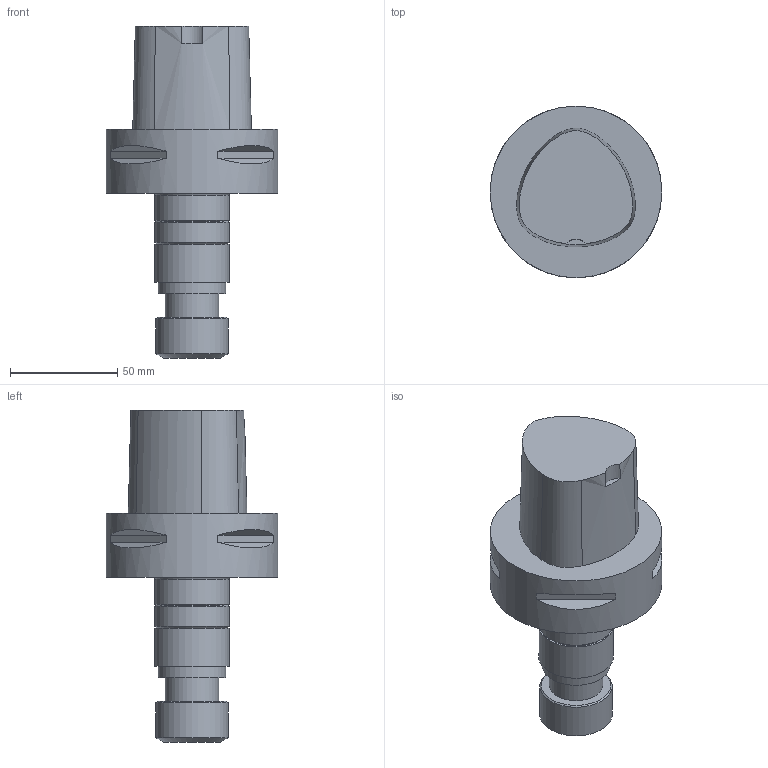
import math
import cadquery as cq

FLANGE_DIAMETER = 80.0
FLANGE_HEIGHT = 30.0

TAPER_LENGTH = 48.0
TAPER_BASE_WIDTH = 55.3
TAPER_RATE = 1 / 20
LOBE_ECCENTRICITY = 2.05
LOBE_COUNT = 3
FLANK_HALF_ANGLE = 26.6
KEY_FLANK_DIRECTION = -90.0
POINTS_PER_CURVE = 9

KEY_SLOT_WIDTH = 10.0
KEY_SLOT_DEPTH = 2.3
KEY_SLOT_HEIGHT = 8.0

GRIP_COUNT = 4
GRIP_FLOOR_OFFSET = 35.5
GRIP_FLOOR_HEIGHT = 3.4
GRIP_WALL_ANGLE = 30.0
GRIP_CENTRE_BELOW_TOP = 12.0

SHANK_DIAMETER = 35.0
SHANK_LENGTH = 41.4
PILOT_DIAMETER = 34.6
PILOT_LENGTH = 23.6
PILOT_FILLET = 0.8
VEE_GROOVE_DEPTH = 0.45
VEE_GROOVE_BELOW_FLANGE = 13.0
UNDERCUT_DEPTH = 0.8
COLLAR_DIAMETER = 31.5
COLLAR_LENGTH = 5.3
NECK_DIAMETER = 24.87
NECK_LENGTH = 11.1
OVERALL_LENGTH = 154.7
HEAD_DIAMETER = 33.7
HEAD_TOP_CHAMFER = 0.6
HEAD_END_CHAMFER_WIDTH = 3.7
HEAD_END_CHAMFER_HEIGHT = 2.0

HEAD_LENGTH = OVERALL_LENGTH - TAPER_LENGTH - FLANGE_HEIGHT - SHANK_LENGTH - COLLAR_LENGTH - NECK_LENGTH


def outline_point(width, angle, z):
    """Point of the lobed outline whose outward normal lies at the given angle (degrees) from +X."""
    normal = math.radians(angle)
    lobe_phase = LOBE_COUNT * (normal - math.pi / 2)
    reach = width / 2 + LOBE_ECCENTRICITY * math.cos(lobe_phase)
    shift = -LOBE_COUNT * LOBE_ECCENTRICITY * math.sin(lobe_phase)
    x = reach * math.cos(normal) - shift * math.sin(normal)
    y = reach * math.sin(normal) + shift * math.cos(normal)
    return cq.Vector(x, y, z)


def outline_curve(width, start, end, z):
    """Smooth stretch of the lobed outline between two normal angles."""
    step = (end - start) / (POINTS_PER_CURVE - 1)
    points = [outline_point(width, start + i * step, z) for i in range(POINTS_PER_CURVE)]
    tangents = [
        cq.Vector(-math.sin(math.radians(angle)), math.cos(math.radians(angle)), 0)
        for angle in (start, end)
    ]
    return cq.Edge.makeSpline(points, tangents=tangents)


def lobed_section(width, z):
    """Closed outline of alternating flat flanks and rounded lobes."""
    pitch = 360 / LOBE_COUNT
    curves = []
    for i in range(LOBE_COUNT):
        flank_centre = KEY_FLANK_DIRECTION + i * pitch
        flank_start = flank_centre - FLANK_HALF_ANGLE
        flank_end = flank_centre + FLANK_HALF_ANGLE
        curves.append(outline_curve(width, flank_start, flank_end, z))
        curves.append(outline_curve(width, flank_end, flank_start + pitch, z))
    return cq.Wire.assembleEdges(curves)


def make_taper():
    top_width = TAPER_BASE_WIDTH - TAPER_RATE * TAPER_LENGTH
    taper_top = FLANGE_HEIGHT + TAPER_LENGTH
    base = lobed_section(TAPER_BASE_WIDTH, FLANGE_HEIGHT)
    top = lobed_section(top_width, taper_top)
    taper = cq.Workplane(cq.Solid.makeLoft([base, top], True))
    return taper.cut(make_key_slot(top_width, taper_top))


def make_key_slot(top_width, taper_top):
    """Upright round-bottomed cutter whose chord at the flank is the slot width."""
    half_width = KEY_SLOT_WIDTH / 2
    radius = (half_width**2 + KEY_SLOT_DEPTH**2) / (2 * KEY_SLOT_DEPTH)
    flank_y = outline_point(top_width, KEY_FLANK_DIRECTION, taper_top).y
    return (
        cq.Workplane("XY", origin=(0, flank_y + KEY_SLOT_DEPTH - radius, taper_top))
        .circle(radius)
        .extrude(-KEY_SLOT_HEIGHT)
    )


def make_flange():
    flange = cq.Workplane("XY").circle(FLANGE_DIAMETER / 2).extrude(FLANGE_HEIGHT)
    cutter = make_grip_cutter()
    spacing = 360 / GRIP_COUNT
    for i in range(GRIP_COUNT):
        flange = flange.cut(cutter.rotate((0, 0, 0), (0, 0, 1), (i + 0.5) * spacing))
    return flange


def make_grip_cutter():
    """Straight trapezoidal bar lying along Y on the +X side of the flange."""
    outer = FLANGE_DIAMETER / 2
    centre_z = FLANGE_HEIGHT - GRIP_CENTRE_BELOW_TOP
    floor_half = GRIP_FLOOR_HEIGHT / 2
    mouth_half = floor_half + (outer - GRIP_FLOOR_OFFSET) * math.tan(math.radians(GRIP_WALL_ANGLE))
    profile = [
        (GRIP_FLOOR_OFFSET, centre_z - floor_half),
        (outer, centre_z - mouth_half),
        (outer, centre_z + mouth_half),
        (GRIP_FLOOR_OFFSET, centre_z + floor_half),
    ]
    return cq.Workplane("XZ").polyline(profile).close().extrude(outer, both=True)


def make_shank():
    """Turned shank: filleted pilot with a V groove, undercut shoulder, body, collar and neck."""
    pilot = PILOT_DIAMETER / 2
    body = SHANK_DIAMETER / 2
    collar = COLLAR_DIAMETER / 2
    neck = NECK_DIAMETER / 2
    groove_z = -VEE_GROOVE_BELOW_FLANGE
    body_top = -PILOT_LENGTH
    collar_top = -SHANK_LENGTH
    neck_top = collar_top - COLLAR_LENGTH
    head_top = neck_top - NECK_LENGTH
    fillet_middle = PILOT_FILLET * (1 - math.sqrt(0.5))
    shank = (
        cq.Workplane("XZ")
        .moveTo(0, 0)
        .lineTo(pilot + PILOT_FILLET, 0)
        .threePointArc((pilot + fillet_middle, -fillet_middle), (pilot, -PILOT_FILLET))
        .lineTo(pilot, groove_z + VEE_GROOVE_DEPTH)
        .lineTo(pilot - VEE_GROOVE_DEPTH, groove_z)
        .lineTo(pilot, groove_z - VEE_GROOVE_DEPTH)
        .lineTo(pilot, body_top + UNDERCUT_DEPTH)
        .lineTo(pilot - UNDERCUT_DEPTH, body_top)
        .lineTo(body, body_top)
        .lineTo(body, collar_top)
        .lineTo(collar, collar_top)
        .lineTo(collar, neck_top)
        .lineTo(neck, neck_top)
        .lineTo(neck, head_top)
        .lineTo(0, head_top)
        .close()
        .revolve()
    )
    return shank.union(make_head(head_top))


def make_head(top_z):
    """Turned head with a small chamfer above and a wide shallow one at its free end."""
    radius = HEAD_DIAMETER / 2
    end_z = top_z - HEAD_LENGTH
    profile = [
        (0, top_z),
        (radius - HEAD_TOP_CHAMFER, top_z),
        (radius, top_z - HEAD_TOP_CHAMFER),
        (radius, end_z + HEAD_END_CHAMFER_HEIGHT),
        (radius - HEAD_END_CHAMFER_WIDTH, end_z),
        (0, end_z),
    ]
    return cq.Workplane("XZ").polyline(profile).close().revolve()


result = make_flange().union(make_taper()).union(make_shank())